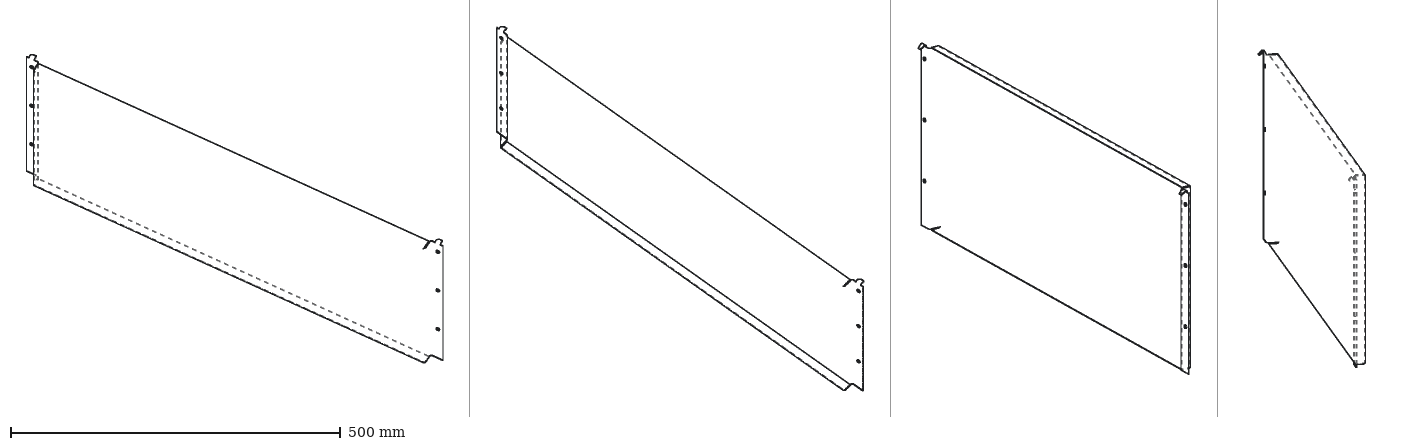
import cadquery as cq
import math

sheet = 1.5
bend_radius = 4.0
overall_width = 724.0
overall_depth = 29.45
overall_height = 301.65

pan_width = 682.0
pan_height = 300.0
flange_back = 20.0
corner_relief = 2.0

hole_diameter = 6.0
hole_pitch = 100.0
hole_count = 3
top_hole_depth = 21.0
hole_from_edge = 9.0

hook_root_width = 9.0
hook_tip_width = 5.0
hook_straight_reach = 4.0
hook_bend_radius = 3.0
hook_slope = math.radians(40)

inner_radius = bend_radius - sheet
pan_depth = flange_back - bend_radius
flange_front = flange_back - sheet
flange_height = pan_height - 2 * corner_relief
flange_top = flange_height / 2
hook_top = overall_height - pan_height / 2
hole_x = overall_width / 2 - hole_from_edge


def point_on_arc(center, radius, angle):
    return (center[0] + radius * math.cos(angle), center[1] + radius * math.sin(angle))


def rounded_block(width, height, front, radius):
    """Block from y = front to the back of the pan, rounded around its front face."""
    depth = pan_depth - front
    block = cq.Workplane("XY").box(width, depth, height).translate((0, front + depth / 2, 0))
    return block.faces("<Y").edges().fillet(radius)


def pan():
    """Open-backed pan with a square notch at each corner."""
    outside = rounded_block(pan_width, pan_height, 0, bend_radius)
    inside = rounded_block(pan_width - 2 * sheet, pan_height - 2 * sheet, sheet, inner_radius)
    notches = (
        cq.Workplane("XZ")
        .rect(pan_width, pan_height, forConstruction=True)
        .vertices()
        .rect(2 * corner_relief, 2 * corner_relief)
        .extrude(-pan_depth)
    )
    return outside.cut(inside).cut(notches)


def flange():
    """Right mounting flange with the bend that joins it to the side wall."""
    wall = pan_width / 2
    tip = overall_width / 2
    bend = (wall + inner_radius, pan_depth)
    middle = math.radians(135)
    return (
        cq.Workplane("XY")
        .workplane(offset=-flange_top)
        .moveTo(wall, pan_depth)
        .threePointArc(point_on_arc(bend, inner_radius, middle), (bend[0], flange_front))
        .lineTo(tip, flange_front)
        .lineTo(tip, flange_back)
        .lineTo(bend[0], flange_back)
        .threePointArc(point_on_arc(bend, bend_radius, middle), (wall - sheet, pan_depth))
        .close()
        .extrude(flange_height)
    )


def hook():
    """Tab rising from the right flange, bent backward and down, narrowing to its tip."""
    outer = hook_bend_radius
    inner = hook_bend_radius - sheet
    center = (flange_front + outer, hook_top - outer)
    end_angle = math.pi / 2 - hook_slope
    middle = (math.pi + end_angle) / 2
    outer_end = point_on_arc(center, outer, end_angle)
    inner_end = point_on_arc(center, inner, end_angle)
    run = overall_depth - outer_end[0]
    drop = run * math.tan(hook_slope)
    strip = (
        cq.Workplane("YZ")
        .moveTo(flange_front, flange_top)
        .lineTo(flange_front, center[1])
        .threePointArc(point_on_arc(center, outer, middle), outer_end)
        .lineTo(outer_end[0] + run, outer_end[1] - drop)
        .lineTo(inner_end[0] + run, inner_end[1] - drop)
        .lineTo(*inner_end)
        .threePointArc(point_on_arc(center, inner, middle), (flange_back, center[1]))
        .lineTo(flange_back, flange_top)
        .close()
        .extrude(hook_root_width / 2, both=True)
    )
    taper_start = flange_back + hook_straight_reach
    outline = (
        cq.Workplane("XY")
        .moveTo(-hook_root_width / 2, flange_front)
        .lineTo(hook_root_width / 2, flange_front)
        .lineTo(hook_root_width / 2, taper_start)
        .lineTo(hook_tip_width / 2, overall_depth)
        .lineTo(-hook_tip_width / 2, overall_depth)
        .lineTo(-hook_root_width / 2, taper_start)
        .close()
        .extrude(hook_top)
    )
    return strip.intersect(outline).translate((hole_x, 0, 0))


def hole_cutters():
    """Column of holes through the right flange."""
    top_hole = flange_top - top_hole_depth
    centers = [(hole_x, top_hole - row * hole_pitch) for row in range(hole_count)]
    return cq.Workplane("XZ").pushPoints(centers).circle(hole_diameter / 2).extrude(-flange_back)


right_flange = flange().union(hook()).cut(hole_cutters())
left_flange = right_flange.mirror("YZ")
result = pan().union(right_flange).union(left_flange)